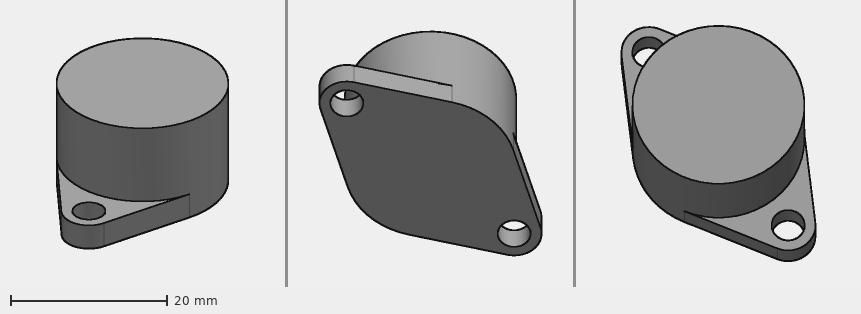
import cadquery as cq
import math

overall_length = 37.0
body_diameter = 22.0
overall_height = 14.5
flange_thickness = 3.5
ear_radius = 3.5
hole_diameter = 4.2

body_radius = body_diameter / 2
hole_offset = overall_length / 2 - ear_radius

tangent_sin = (body_radius - ear_radius) / hole_offset
tangent_cos = math.sqrt(1 - tangent_sin**2)
body_tangent_x = body_radius * tangent_cos
body_tangent_y = body_radius * tangent_sin
ear_tangent_x = ear_radius * tangent_cos
ear_tangent_y = hole_offset + ear_radius * tangent_sin


def make_flange():
    """Diamond flange with rounded ears and rounded sides."""
    return (
        cq.Workplane("XY")
        .moveTo(body_tangent_x, -body_tangent_y)
        .threePointArc((body_radius, 0), (body_tangent_x, body_tangent_y))
        .lineTo(ear_tangent_x, ear_tangent_y)
        .threePointArc((0, overall_length / 2), (-ear_tangent_x, ear_tangent_y))
        .lineTo(-body_tangent_x, body_tangent_y)
        .threePointArc((-body_radius, 0), (-body_tangent_x, -body_tangent_y))
        .lineTo(-ear_tangent_x, -ear_tangent_y)
        .threePointArc((0, -overall_length / 2), (ear_tangent_x, -ear_tangent_y))
        .close()
        .extrude(flange_thickness)
    )


def make_body():
    """Round body standing on the flange."""
    return (
        cq.Workplane("XY", origin=(0, 0, flange_thickness))
        .circle(body_radius)
        .extrude(overall_height - flange_thickness)
    )


def make_mounting_holes():
    """Cutters for the through hole in each ear."""
    return (
        cq.Workplane("XY")
        .pushPoints([(0, hole_offset), (0, -hole_offset)])
        .circle(hole_diameter / 2)
        .extrude(flange_thickness)
    )


result = make_flange().union(make_body()).cut(make_mounting_holes())